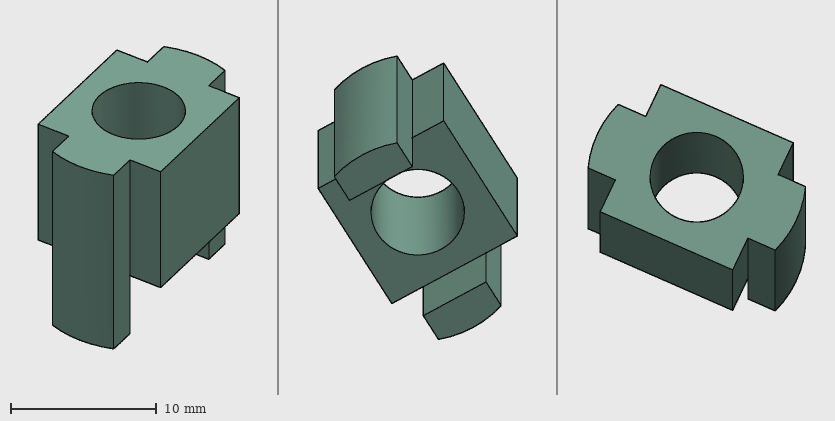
import cadquery as cq

outer_diameter = 15.0
total_height = 15.0
block_side = 10.0
block_height = 10.0
bore_diameter = 6.4

block_bottom = total_height - block_height
leg_width = block_side / 2


def make_block():
    """Square block, flush with the top of the legs."""
    return (
        cq.Workplane("XY")
        .workplane(offset=block_bottom)
        .rect(block_side, block_side)
        .extrude(block_height)
    )


def make_legs():
    """Two full-height legs with round outer faces, one on each Y side of the block."""
    strip = cq.Workplane("XY").rect(leg_width, outer_diameter).extrude(total_height)
    cylinder = cq.Workplane("XY").circle(outer_diameter / 2).extrude(total_height)
    gap = cq.Workplane("XY").rect(block_side, block_side).extrude(total_height)
    return strip.intersect(cylinder).cut(gap)


def make_bore():
    """Vertical bore through the middle of the block."""
    return cq.Workplane("XY").circle(bore_diameter / 2).extrude(total_height)


result = make_block().union(make_legs()).cut(make_bore())